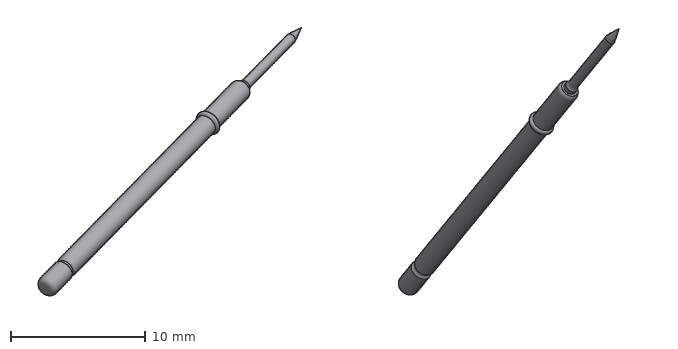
import cadquery as cq
import math

length = 35.7

barrel_radius = 0.82
ring_radius = 1.0
crimp_radius = 0.68
collar_radius = 0.5
plunger_radius = 0.4
cone_radius = 0.32

rear_fillet = 0.43
groove_rear = 2.5
groove_floor = 2.82
crimp_length = 0.32
barrel_front = 27.4

ring_station = 22.67
ring_half_width = 0.25

collar_front = 27.75
flare_length = 0.32
cone_length = 1.15


def arc_middle(tangent_end, other_end):
    """Middle of the arc between two (radius, station) points that runs along the axis at the first."""
    rise = other_end[0] - tangent_end[0]
    run = other_end[1] - tangent_end[1]
    arc_radius = (rise**2 + run**2) / (2 * abs(rise))
    half_sweep = math.atan2(abs(rise), abs(run))
    radial_shift = math.copysign(arc_radius * (1 - math.cos(half_sweep)), rise)
    axial_shift = math.copysign(arc_radius * math.sin(half_sweep), run)
    return (tangent_end[0] + radial_shift, tangent_end[1] + axial_shift)


rear_face_edge = (barrel_radius - rear_fillet, 0)
rear_fillet_end = (barrel_radius, rear_fillet)
groove_rear_edge = (barrel_radius, groove_rear)
groove_bottom = (crimp_radius, groove_floor)
groove_front_edge = (barrel_radius, groove_floor + crimp_length)
ring_rear_edge = (barrel_radius, ring_station - ring_half_width)
ring_crest = (ring_radius, ring_station)
ring_front_edge = (barrel_radius, ring_station + ring_half_width)
front_crimp_start = (barrel_radius, barrel_front - crimp_length)
front_crimp_end = (crimp_radius, barrel_front)
collar_base = (collar_radius, barrel_front)
collar_edge = (collar_radius, collar_front)
collar_flare_end = (plunger_radius, collar_front + flare_length)
cone_base = (cone_radius, length - cone_length)
shank_front_edge = (plunger_radius, length - cone_length - flare_length)

profile = (
    cq.Workplane("XY", origin=(0, -length / 2, 0))
    .moveTo(0, 0)
    .lineTo(*rear_face_edge)
    .threePointArc(arc_middle(rear_fillet_end, rear_face_edge), rear_fillet_end)
    .lineTo(*groove_rear_edge)
    .threePointArc(arc_middle(groove_bottom, groove_rear_edge), groove_bottom)
    .threePointArc(arc_middle(groove_front_edge, groove_bottom), groove_front_edge)
    .lineTo(*ring_rear_edge)
    .threePointArc(ring_crest, ring_front_edge)
    .lineTo(*front_crimp_start)
    .threePointArc(arc_middle(front_crimp_start, front_crimp_end), front_crimp_end)
    .lineTo(*collar_base)
    .lineTo(*collar_edge)
    .threePointArc(arc_middle(collar_flare_end, collar_edge), collar_flare_end)
    .lineTo(*shank_front_edge)
    .threePointArc(arc_middle(cone_base, shank_front_edge), cone_base)
    .lineTo(0, length)
    .close()
)

axis_start = (0, 0, 0)
axis_end = (0, 1, 0)
result = profile.revolve(360, axis_start, axis_end)